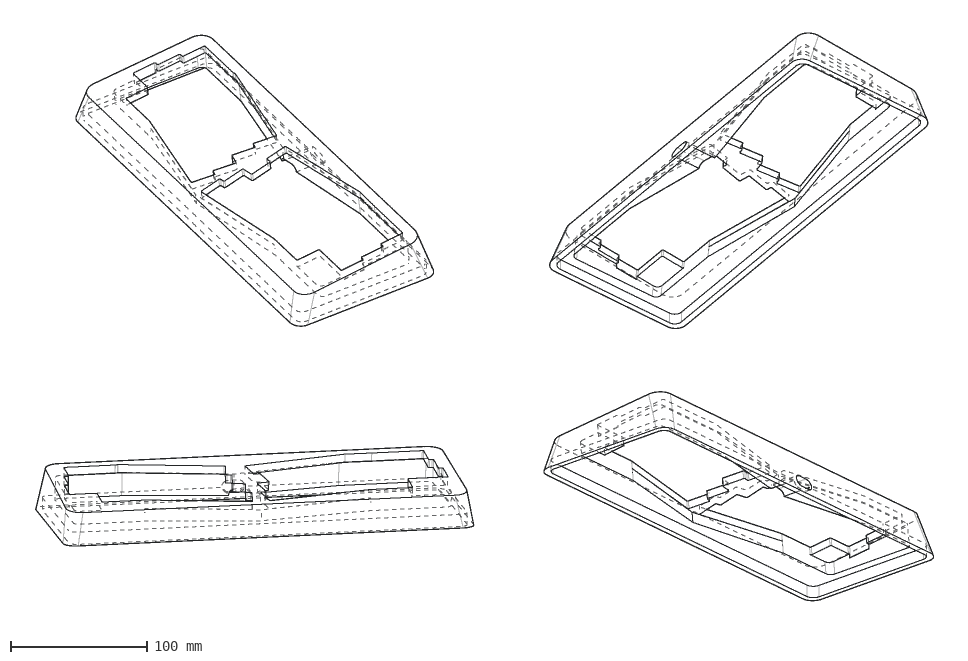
import cadquery as cq
import math

LENGTH = 306.7
WIDTH = 123.5
BACK_HEIGHT = 34.5
TOP_TILT = 5.8
END_DRAFT = 8.4
BACK_DRAFT = 16.6
FRONT_DRAFT = 15.4
BASE_CORNER_RADIUS = 9.5
TOP_CORNER_RADIUS = 11.7

PLATE_THICKNESS = 6.5
KEY_PITCH = 19.0
SPLAY = 10.0
OPENING_BACK = 43.0
OPENING_FRONT = -35.0
OPENING_RADIUS = 1.0
UPPER_ROW_ENDS = [134.5, 138.0, 141.5]
LEFT_FRONT_ROW_END = 121.0
RIGHT_FRONT_ROW_END = 111.3
LEFT_INNER_CORNER = (-11.0, -48.5)
RIGHT_INNER_CORNER = (1.8, -48.5)
LEFT_ROW_STEPS = [4.5, 9.5, 4.5]
RIGHT_ROW_STEPS = [4.5, 9.5, -4.5]
LEFT_FRONT_BEND = -88.5
RIGHT_FRONT_BEND = 80.0
LEFT_BACK_BENDS = [(-94.0, 43.5), (-96.0, OPENING_BACK)]
RIGHT_BACK_BENDS = [(75.8, 43.2), (95.7, OPENING_BACK)]

POCKET_END = 141.0
POCKET_BACK = 44.0
POCKET_FRONT = -35.0
POCKET_RADIUS = 4.5
POCKET_LEFT_BEND = -90.5
POCKET_RIGHT_BEND = 71.5

RECESS_LENGTH = 297.5
RECESS_WIDTH = 113.5
RECESS_DEPTH = 9.2
RECESS_RADIUS = 6.0

PORT_X = -5.0
PORT_Z = 9.5
PORT_WIDTH = 16.5
PORT_HEIGHT = 9.2


def tangent(degrees):
    return math.tan(math.radians(degrees))


BACK_RIM_Y = WIDTH / 2 - BACK_HEIGHT * tangent(BACK_DRAFT)
MIDDLE_HEIGHT = BACK_HEIGHT - BACK_RIM_Y * tangent(TOP_TILT)


def top_plane():
    """Workplane on the tilted top face, with its origin above the middle of the base."""
    return cq.Workplane("XY", origin=(0, 0, MIDDLE_HEIGHT)).transformed(rotate=(TOP_TILT, 0, 0))


def outer_section(height, corner_radius):
    """Rounded outline of the leaning outer walls at a given height."""
    half_length = LENGTH / 2 - height * tangent(END_DRAFT)
    back = WIDTH / 2 - height * tangent(BACK_DRAFT)
    front = -WIDTH / 2 + height * tangent(FRONT_DRAFT)
    section = cq.Sketch().rect(2 * half_length, back - front).vertices().fillet(corner_radius)
    return section.moved(cq.Location(cq.Vector(0, (back + front) / 2, height)))


def make_body():
    base = outer_section(0, BASE_CORNER_RADIUS)
    top = outer_section(BACK_HEIGHT + 3, TOP_CORNER_RADIUS)
    walls = cq.Workplane("XY").placeSketch(base, top).loft()
    above_top = top_plane().rect(2 * LENGTH, 2 * WIDTH).extrude(BACK_HEIGHT)
    return walls.cut(above_top)


def inner_staircase(side, corner, row_steps):
    """Points up the splayed inner ends of the four rows, from front to back."""
    angle = math.radians(SPLAY)
    outward = cq.Vector(side * math.cos(angle), math.sin(angle))
    backward = cq.Vector(-side * math.sin(angle), math.cos(angle))
    point = cq.Vector(*corner)
    points = [point]
    for step in row_steps:
        row_end = point + backward * KEY_PITCH
        point = row_end + outward * step
        points += [row_end, point]
    points.append(point + backward * KEY_PITCH)
    return [(p.x, p.y) for p in points]


def outer_staircase(side, front_row_end):
    """Points down the straight outer ends of the four rows, from back to front."""
    row_ends = UPPER_ROW_ENDS + [front_row_end]
    row_depth = (OPENING_BACK - OPENING_FRONT) / len(row_ends)
    points = []
    for row, end in enumerate(row_ends):
        row_back = OPENING_BACK - row * row_depth
        points += [(side * end, row_back), (side * end, row_back - row_depth)]
    return points


def key_opening(side, inner_corner, row_steps, back_bends, front_row_end, front_bend):
    """Cutter for one half of the keys; side is -1 on the left and 1 on the right."""
    outline = inner_staircase(side, inner_corner, row_steps)
    outline += back_bends
    outline += outer_staircase(side, front_row_end)
    outline.append((front_bend, OPENING_FRONT))
    cutter = top_plane().polyline(outline).close().extrude(-1.5 * PLATE_THICKNESS)
    upright = cq.selectors.ParallelDirSelector(top_plane().plane.zDir)
    return cutter.edges(upright).fillet(OPENING_RADIUS)


def splay_meeting_point(left_bend, right_bend, y):
    """Point where the splayed edges from two bends at the same Y run together."""
    middle = (left_bend + right_bend) / 2
    return (middle, y - (right_bend - left_bend) / 2 * tangent(SPLAY))


def make_pocket():
    outline = [
        (POCKET_LEFT_BEND, POCKET_BACK),
        splay_meeting_point(POCKET_LEFT_BEND, POCKET_RIGHT_BEND, POCKET_BACK),
        (POCKET_RIGHT_BEND, POCKET_BACK),
        (POCKET_END, POCKET_BACK),
        (POCKET_END, POCKET_FRONT),
        (RIGHT_FRONT_BEND, POCKET_FRONT),
        splay_meeting_point(LEFT_FRONT_BEND, RIGHT_FRONT_BEND, POCKET_FRONT),
        (LEFT_FRONT_BEND, POCKET_FRONT),
        (-POCKET_END, POCKET_FRONT),
        (-POCKET_END, POCKET_BACK),
    ]
    plate_underside = top_plane().workplane(offset=-PLATE_THICKNESS)
    pocket = plate_underside.polyline(outline).close().extrude(-2 * BACK_HEIGHT)
    upright = cq.selectors.ParallelDirSelector(top_plane().plane.zDir)
    end_corners = pocket.edges(upright).edges("<X or >X")
    return end_corners.fillet(POCKET_RADIUS)


def make_recess():
    block = cq.Workplane("XY").rect(RECESS_LENGTH, RECESS_WIDTH).extrude(RECESS_DEPTH)
    return block.edges("|Z").fillet(RECESS_RADIUS)


def make_port():
    back_plane = cq.Workplane("XZ", origin=(PORT_X, WIDTH / 2, PORT_Z))
    return back_plane.slot2D(PORT_WIDTH, PORT_HEIGHT).extrude(WIDTH / 2)


left_opening = key_opening(
    -1, LEFT_INNER_CORNER, LEFT_ROW_STEPS, LEFT_BACK_BENDS, LEFT_FRONT_ROW_END, LEFT_FRONT_BEND
)
right_opening = key_opening(
    1, RIGHT_INNER_CORNER, RIGHT_ROW_STEPS, RIGHT_BACK_BENDS, RIGHT_FRONT_ROW_END, RIGHT_FRONT_BEND
)

result = make_body().cut(left_opening).cut(right_opening)
result = result.cut(make_pocket()).cut(make_recess()).cut(make_port())